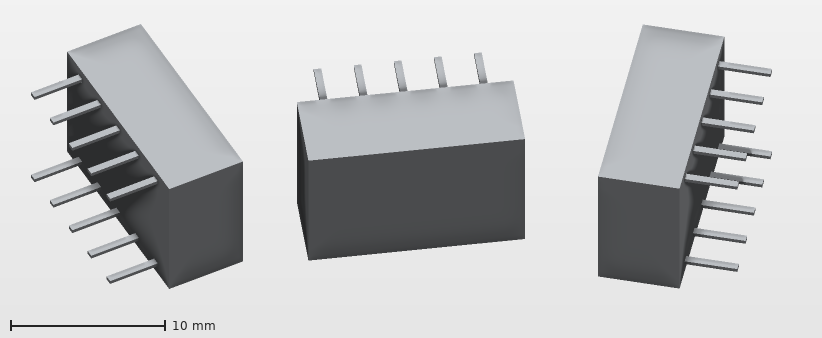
import cadquery as cq

body_length = 14.2
body_depth = 5.41
body_height = 9.2

overall_depth = 8.9
pin_length = overall_depth - body_depth
pin_width = 0.5
pin_thickness = 0.25
pins_per_row = 5
pin_pitch = 2.63
row_spacing = 7.58


def make_body():
    return cq.Workplane("XY").box(body_length, body_depth, body_height, centered=(True, False, True))


def make_pins():
    return (
        cq.Workplane("XZ")
        .rarray(pin_pitch, row_spacing, pins_per_row, 2)
        .rect(pin_width, pin_thickness)
        .extrude(pin_length)
    )


result = make_body().union(make_pins())